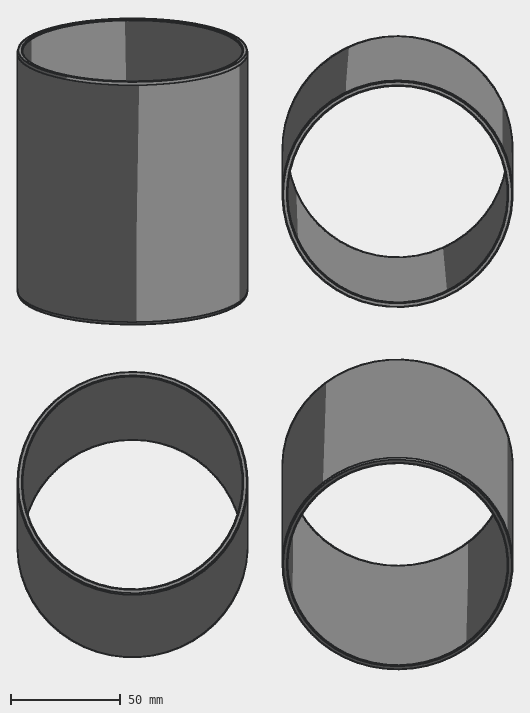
import cadquery as cq

length = 115.0
outer_diameter = 105.0
inner_diameter = 100.0

outer_bevel_height = 1.4
outer_bevel_depth = 0.5

inner_chamfer = 0.5

outer_radius = outer_diameter / 2
inner_radius = inner_diameter / 2

wall_section = [
    (inner_radius + inner_chamfer, 0),
    (outer_radius - outer_bevel_depth, 0),
    (outer_radius, outer_bevel_height),
    (outer_radius, length - outer_bevel_height),
    (outer_radius - outer_bevel_depth, length),
    (inner_radius + inner_chamfer, length),
    (inner_radius, length - inner_chamfer),
    (inner_radius, inner_chamfer),
]

result = (
    cq.Workplane("XZ")
    .polyline(wall_section)
    .close()
    .revolve(360, (0, 0, 0), (0, 1, 0))
)